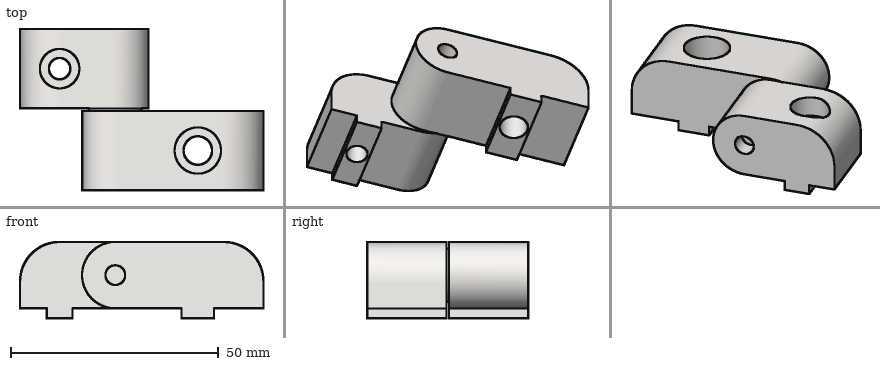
import cadquery as cq

TOTAL_LENGTH = 58.7
ARM_WIDTH = 19.15
ARM_HEIGHT = 16.0
WASHER_THICKNESS = 0.6
REAR_ARM_LENGTH = 31.0
KNUCKLE_RADIUS = ARM_HEIGHT / 2
END_RADIUS = 9.55
PIVOT_X = REAR_ARM_LENGTH - KNUCKLE_RADIUS
PIVOT_Z = ARM_HEIGHT / 2

KEY_HEIGHT = 2.4
REAR_KEY_WIDTH = 6.3
REAR_SCREW_X = END_RADIUS
REAR_SCREW_DIAMETER = 5.1
REAR_HEAD_DIAMETER = 9.5
REAR_HEAD_DEPTH = 5.0
FRONT_KEY_WIDTH = 7.85
FRONT_SCREW_X = 42.85
FRONT_SCREW_DIAMETER = 6.8
FRONT_HEAD_DIAMETER = 11.15
FRONT_HEAD_DEPTH = 6.5

PIN_DIAMETER = 4.75
PIN_RECESS = PIN_DIAMETER
WASHER_DIAMETER = 12.85

WASHER_Y = ARM_WIDTH
REAR_ARM_Y = WASHER_Y + WASHER_THICKNESS
TOTAL_WIDTH = REAR_ARM_Y + ARM_WIDTH


def cylinder_along_y(diameter, start_y, length):
    """Cylinder on the pivot axis."""
    plane = cq.Plane(origin=(PIVOT_X, start_y, PIVOT_Z), xDir=(1, 0, 0), normal=(0, 1, 0))
    return cq.Workplane(plane).circle(diameter / 2).extrude(length)


def arm_blank(free_end_x, start_y):
    """Arm with a full-round knuckle at the pivot and one rounded upper corner."""
    toward_pivot = 1 if free_end_x < PIVOT_X else -1
    corner_center_x = free_end_x + toward_pivot * END_RADIUS
    corner_center_z = ARM_HEIGHT - END_RADIUS
    diagonal = END_RADIUS * 0.5 ** 0.5
    profile = (
        cq.Workplane("XZ", origin=(0, start_y, 0))
        .moveTo(PIVOT_X, 0)
        .lineTo(free_end_x, 0)
        .lineTo(free_end_x, corner_center_z)
        .threePointArc(
            (corner_center_x - toward_pivot * diagonal, corner_center_z + diagonal),
            (corner_center_x, ARM_HEIGHT),
        )
        .lineTo(PIVOT_X, ARM_HEIGHT)
        .threePointArc((PIVOT_X + toward_pivot * KNUCKLE_RADIUS, PIVOT_Z), (PIVOT_X, 0))
        .close()
    )
    return profile.extrude(-ARM_WIDTH)


def locating_key(center_x, key_width, start_y):
    """Rectangular key under the arm, running across its full width."""
    return (
        cq.Workplane("XY")
        .box(key_width, ARM_WIDTH, KEY_HEIGHT, centered=(True, False, False))
        .translate((center_x, start_y, -KEY_HEIGHT))
    )


def counterbored_hole(center_x, center_y, diameter, head_diameter, head_depth):
    """Cutter for a vertical screw hole with a recess for the screw head."""
    shank = (
        cq.Workplane("XY", origin=(center_x, center_y, -KEY_HEIGHT))
        .circle(diameter / 2)
        .extrude(KEY_HEIGHT + ARM_HEIGHT)
    )
    head = (
        cq.Workplane("XY", origin=(center_x, center_y, ARM_HEIGHT - head_depth))
        .circle(head_diameter / 2)
        .extrude(head_depth)
    )
    return shank.union(head)


def hinge_arm(free_end_x, start_y, screw_x, key_width, screw_diameter, head_diameter, head_depth):
    """Complete arm with its key, screw hole and pivot bore."""
    center_y = start_y + ARM_WIDTH / 2
    arm = arm_blank(free_end_x, start_y)
    arm = arm.union(locating_key(screw_x, key_width, start_y))
    arm = arm.cut(counterbored_hole(screw_x, center_y, screw_diameter, head_diameter, head_depth))
    return arm.cut(cylinder_along_y(PIN_DIAMETER, start_y, ARM_WIDTH))


def spacer_washer():
    """Ring that keeps the two arms apart."""
    disc = cylinder_along_y(WASHER_DIAMETER, WASHER_Y, WASHER_THICKNESS)
    return disc.cut(cylinder_along_y(PIN_DIAMETER, WASHER_Y, WASHER_THICKNESS))


def pivot_pin():
    """Pin through the washer and into both arms."""
    return cylinder_along_y(PIN_DIAMETER, PIN_RECESS, TOTAL_WIDTH - 2 * PIN_RECESS)


rear_arm = hinge_arm(
    0, REAR_ARM_Y, REAR_SCREW_X, REAR_KEY_WIDTH,
    REAR_SCREW_DIAMETER, REAR_HEAD_DIAMETER, REAR_HEAD_DEPTH,
)
front_arm = hinge_arm(
    TOTAL_LENGTH, 0, FRONT_SCREW_X, FRONT_KEY_WIDTH,
    FRONT_SCREW_DIAMETER, FRONT_HEAD_DIAMETER, FRONT_HEAD_DEPTH,
)
washer = spacer_washer()
pin = pivot_pin()

result = cq.Compound.makeCompound([rear_arm.val(), front_arm.val(), washer.val(), pin.val()])